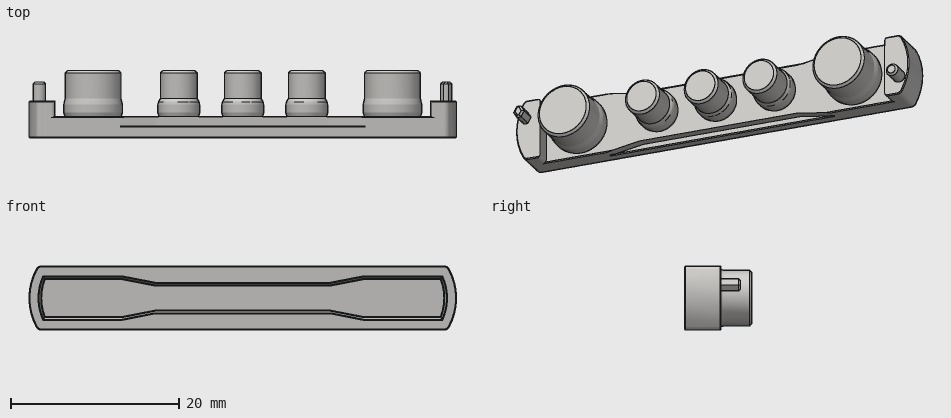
import cadquery as cq
import math

length = 50.8
height = 7.62
half_length = length / 2
half_height = height / 2

boss_end_y = 8.0
plate_back_y = 2.5
block_back_y = 4.35
pin_end_y = 6.65
ledge_y = 1.4

end_arc_radius = 7.2
corner_radius = 0.7
edge_chamfer = 0.12

block_width = 3.1
block_fillet = 0.42

recess_margin = 1.08
recess_half_height = 2.64
waist_half_height = 1.88
recess_taper_start = 14.35
recess_taper_end = 10.45
recess_depth = 0.78
recess_wall_run = 0.2
recess_bevel = 0.12
recess_arc_radius = end_arc_radius - recess_margin

relief_start = 14.5
relief_full = 10.2
relief_depth = 0.7

small_boss_pitch = 7.6
big_boss_x = 17.78
small_boss_radius = 2.2
small_collar_radius = 2.5
big_boss_radius = 3.33
big_collar_radius = 3.5
boss_tip_chamfer = 0.3
collar_foot_y = 2.97
collar_top_y = 3.92
shoulder_y = 4.25
neck_y = 4.65
collar_foot_step = 0.15
shoulder_step = 0.07

pin_x = 24.15
pin_z = 1.57
pin_radius = 0.75
pin_chamfer = 0.25
diamond_half_width = 0.68
diamond_land_half_width = 0.28


def xz_plane(y):
    """Work plane at depth y, with local x along -X and local y along Z, extruding toward +Y."""
    return cq.Plane(origin=(0, y, 0), xDir=(-1, 0, 0), normal=(0, 1, 0))


def sagitta(radius, half_chord):
    return radius - math.sqrt(radius**2 - half_chord**2)


def make_slab(depth):
    """Slab with arched ends and chamfered front and back edges."""
    corner_x = half_length - sagitta(end_arc_radius, half_height)
    return (
        cq.Workplane(xz_plane(0))
        .moveTo(-corner_x, half_height)
        .lineTo(corner_x, half_height)
        .threePointArc((half_length, 0), (corner_x, -half_height))
        .lineTo(-corner_x, -half_height)
        .threePointArc((-half_length, 0), (-corner_x, half_height))
        .close()
        .extrude(depth)
        .edges("|Y")
        .fillet(corner_radius)
        .faces("<Y or >Y")
        .edges()
        .chamfer(edge_chamfer)
    )


def make_end_blocks():
    """Both ends of a deeper slab, with the middle removed and the inner corners rounded."""
    gap_length = length - 2 * block_width
    gap = cq.Workplane("XY").box(gap_length, block_back_y, height, centered=(True, False, True))
    blocks = make_slab(block_back_y).cut(gap)
    inner_x = half_length - block_width
    middle_y = block_back_y / 2
    reach = block_fillet / 2
    for x in (-inner_x, inner_x):
        for z in (-half_height, half_height):
            corner = cq.selectors.BoxSelector(
                (x - reach, middle_y - reach, z - reach), (x + reach, middle_y + reach, z + reach)
            )
            blocks = blocks.edges(corner).fillet(block_fillet)
    return blocks


def recess_outline(plane, inset):
    """Waisted outline of the recess, moved inward by inset."""
    end_x = half_length - recess_margin - inset
    wide = recess_half_height - inset
    narrow = waist_half_height - inset
    corner_x = end_x - sagitta(recess_arc_radius, wide)
    return (
        plane.moveTo(-corner_x, wide)
        .lineTo(-recess_taper_start, wide)
        .lineTo(-recess_taper_end, narrow)
        .lineTo(recess_taper_end, narrow)
        .lineTo(recess_taper_start, wide)
        .lineTo(corner_x, wide)
        .threePointArc((end_x, 0), (corner_x, -wide))
        .lineTo(recess_taper_start, -wide)
        .lineTo(recess_taper_end, -narrow)
        .lineTo(-recess_taper_end, -narrow)
        .lineTo(-recess_taper_start, -wide)
        .lineTo(-corner_x, -wide)
        .threePointArc((-end_x, 0), (-corner_x, wide))
        .close()
    )


def recess_layer(start_y, end_y, start_inset, end_inset):
    start = recess_outline(cq.Workplane(xz_plane(start_y)), start_inset)
    return recess_outline(start.workplane(offset=end_y - start_y), end_inset).loft(ruled=True)


def make_recess():
    """Pocket with sloping walls, bevelled around its mouth and around its floor."""
    wall_end_y = recess_depth - recess_bevel
    wall_end_inset = recess_bevel + recess_wall_run
    lip = recess_layer(0, recess_bevel, 0, recess_bevel)
    wall = recess_layer(recess_bevel, wall_end_y, recess_bevel, wall_end_inset)
    foot = recess_layer(wall_end_y, recess_depth, wall_end_inset, wall_end_inset + recess_bevel)
    return lip.union(wall).union(foot)


def make_relief():
    """Trapezoid cut with a bevelled front edge, at the back of the top and bottom sides."""
    floor_z = half_height - relief_depth
    top = (
        cq.Workplane(xz_plane(ledge_y))
        .polyline([
            (-relief_start, half_height),
            (-relief_full, floor_z),
            (relief_full, floor_z),
            (relief_start, half_height),
        ])
        .close()
        .extrude(plate_back_y - ledge_y)
    )
    bevel = (
        cq.Workplane("YZ", origin=(-relief_start, 0, 0))
        .polyline([
            (ledge_y - edge_chamfer, half_height),
            (ledge_y, half_height),
            (ledge_y, half_height - edge_chamfer),
        ])
        .close()
        .extrude(2 * relief_start)
    )
    top = top.union(bevel)
    return top.union(top.mirror("XY"))


def make_boss(x, radius, collar_radius):
    """Round boss with a collar at its foot, revolved about an axis along Y."""
    return (
        cq.Workplane("XY")
        .moveTo(0, ledge_y)
        .lineTo(collar_radius - collar_foot_step, ledge_y)
        .lineTo(collar_radius - collar_foot_step, plate_back_y)
        .lineTo(collar_radius, collar_foot_y)
        .lineTo(collar_radius, collar_top_y)
        .lineTo(collar_radius - shoulder_step, shoulder_y)
        .lineTo(radius, neck_y)
        .lineTo(radius, boss_end_y - boss_tip_chamfer)
        .lineTo(radius - boss_tip_chamfer, boss_end_y)
        .lineTo(0, boss_end_y)
        .close()
        .revolve(360, (0, 0, 0), (0, 1, 0))
        .translate((x, 0, 0))
    )


def make_round_pin():
    pin = cq.Workplane(xz_plane(block_back_y)).circle(pin_radius).extrude(pin_end_y - block_back_y)
    return pin.faces(">Y").chamfer(pin_chamfer)


def make_diamond_pin():
    """Round pin with its sides cut to a diamond, leaving round lands at the top and bottom."""
    land_z = math.sqrt(pin_radius**2 - diamond_land_half_width**2)
    pin = (
        cq.Workplane(xz_plane(block_back_y))
        .moveTo(-diamond_land_half_width, land_z)
        .threePointArc((0, pin_radius), (diamond_land_half_width, land_z))
        .lineTo(diamond_half_width, 0)
        .lineTo(diamond_land_half_width, -land_z)
        .threePointArc((0, -pin_radius), (-diamond_land_half_width, -land_z))
        .lineTo(-diamond_half_width, 0)
        .close()
        .extrude(pin_end_y - block_back_y)
    )
    return pin.faces(">Y").chamfer(pin_chamfer)


result = make_slab(plate_back_y).union(make_end_blocks()).cut(make_recess()).cut(make_relief())
for boss_x in (-small_boss_pitch, 0, small_boss_pitch):
    result = result.union(make_boss(boss_x, small_boss_radius, small_collar_radius))
for boss_x in (-big_boss_x, big_boss_x):
    result = result.union(make_boss(boss_x, big_boss_radius, big_collar_radius))
result = result.union(make_round_pin().translate((-pin_x, 0, -pin_z)))
result = result.union(make_diamond_pin().translate((pin_x, 0, pin_z)))